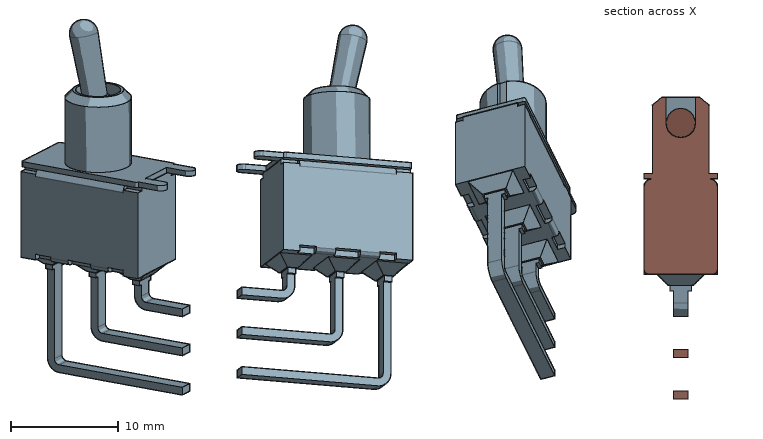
import cadquery as cq
import math


overall_height = 34.7

case_length = 12.7
case_width = 6.87
case_height = 8.9
strap_half_length = 4.75
top_edge_radius = 0.73
top_notch_height = 0.5
bottom_edge_radius = 0.45
bottom_notch_height = 0.55
bottom_notch_depth = 0.73
centre_notch_length = 2.43
outer_notch_length = 1.63

plate_inset = 0.07
plate_thickness = 0.52
plate_corner_radius = 0.2
lug_width = 1.3
lug_offset = 2.57
lug_tip_x = 8.95

bushing_diameter = 6.2
bushing_height = 7.1
bushing_chamfer = 0.73
keyway_width = 0.95
keyway_floor_radius = 2.35

terminal_pitch = 4.72
terminal_thickness = 0.75
terminal_width = 1.4
terminal_end_x = 9.55
terminal_bottoms = [-11.63, -7.78, -3.95]
bend_inner_radius = 0.52
collar_width = 2.05
collar_bottom = -1.55
seal_height = 1.05
seal_length = 3.12
seal_width = 4.45

ball_diameter = 4.2
pivot_depth = 2.4
lever_tilt = 11.6
tip_diameter = 2.7
root_diameter = 2.22

plate_top = case_height + plate_thickness
rim_z = plate_top + bushing_height
pivot_z = rim_z - pivot_depth
dome_centre_z = overall_height + min(terminal_bottoms) - tip_diameter / 2
lever_reach = (dome_centre_z - pivot_z) / math.cos(math.radians(lever_tilt))


def box_between(x_range, y_range, z_range):
    """Box spanning the given (low, high) pairs."""
    size = [high - low for low, high in (x_range, y_range, z_range)]
    corner = (x_range[0], y_range[0], z_range[0])
    return cq.Workplane("XY").box(*size, centered=False).translate(corner)


def edge_rounding(radius, z_edge, side):
    """Material outside a rounded long edge; side is +1 for the +Y edge and -1 for -Y."""
    edge_y = side * case_width / 2
    centre_y = edge_y - side * radius
    inward = -1 if z_edge > 0 else 1
    centre_z = z_edge + inward * radius
    arc_mid = (
        centre_y + side * radius * math.sqrt(0.5),
        centre_z - inward * radius * math.sqrt(0.5),
    )
    return (
        cq.Workplane("YZ", origin=(-strap_half_length, 0, 0))
        .moveTo(centre_y, z_edge)
        .threePointArc(arc_mid, (edge_y, centre_z))
        .lineTo(edge_y, z_edge)
        .close()
        .extrude(2 * strap_half_length)
    )


def make_case():
    half_length = case_length / 2
    half_width = case_width / 2
    case = box_between((-half_length, half_length), (-half_width, half_width), (0, case_height))
    top_notch_z = (case_height - top_notch_height, case_height)
    bottom_notch_z = (0, bottom_notch_height)
    top_notches_x = [(-half_length, -strap_half_length), (strap_half_length, half_length)]
    bottom_notches_x = [
        (-strap_half_length, outer_notch_length - strap_half_length),
        (-centre_notch_length / 2, centre_notch_length / 2),
        (strap_half_length - outer_notch_length, strap_half_length),
    ]
    for side in (-1, 1):
        case = case.cut(edge_rounding(top_edge_radius, case_height, side))
        case = case.cut(edge_rounding(bottom_edge_radius, 0, side))
        face_y = side * half_width
        top_y = sorted((face_y, face_y - side * top_edge_radius))
        bottom_y = sorted((face_y, face_y - side * bottom_notch_depth))
        for notch_x in top_notches_x:
            case = case.cut(box_between(notch_x, top_y, top_notch_z))
        for notch_x in bottom_notches_x:
            case = case.cut(box_between(notch_x, bottom_y, bottom_notch_z))
    return case


def make_plate():
    """Rectangular plate with two round-ended lugs reaching past its +X edge."""
    plate_length = case_length - 2 * plate_inset
    plate = (
        cq.Workplane("XY", origin=(0, 0, case_height))
        .rect(plate_length, case_width)
        .extrude(plate_thickness)
        .edges("|Z")
        .fillet(plate_corner_radius)
    )
    lug_centre_x = lug_tip_x / 2
    for lug_y in (-lug_offset, lug_offset):
        lug = (
            cq.Workplane("XY", origin=(lug_centre_x, lug_y, case_height))
            .slot2D(lug_tip_x, lug_width)
            .extrude(plate_thickness)
        )
        plate = plate.union(lug)
    return plate


def make_bushing():
    """Chamfered cylinder with a keyway down its -X side."""
    bushing = (
        cq.Workplane("XY", origin=(0, 0, plate_top))
        .circle(bushing_diameter / 2)
        .extrude(bushing_height)
        .faces(">Z")
        .chamfer(bushing_chamfer)
    )
    keyway = box_between(
        (-bushing_diameter, -keyway_floor_radius),
        (-keyway_width / 2, keyway_width / 2),
        (plate_top, rim_z),
    )
    return bushing.cut(keyway)


def make_ball():
    return cq.Workplane("XY", origin=(0, 0, pivot_z)).sphere(ball_diameter / 2)


def make_socket():
    """Round-bottomed bore that holds the ball of the lever."""
    bore = cq.Workplane("XY", origin=(0, 0, pivot_z)).circle(ball_diameter / 2).extrude(pivot_depth)
    return bore.union(make_ball())


def make_terminal(centre_x, foot_bottom):
    """Flat terminal bent toward +X, with a wider collar and a tapered seal under the case."""
    left = centre_x - terminal_thickness / 2
    right = centre_x + terminal_thickness / 2
    foot_top = foot_bottom + terminal_thickness
    bend_outer_radius = bend_inner_radius + terminal_thickness
    bend_x = right + bend_inner_radius
    bend_z = foot_top + bend_inner_radius
    outer_mid = (bend_x - bend_outer_radius * math.sqrt(0.5), bend_z - bend_outer_radius * math.sqrt(0.5))
    inner_mid = (bend_x - bend_inner_radius * math.sqrt(0.5), bend_z - bend_inner_radius * math.sqrt(0.5))
    strip = (
        cq.Workplane("XZ", origin=(0, terminal_width / 2, 0))
        .moveTo(left, 0)
        .lineTo(left, bend_z)
        .threePointArc(outer_mid, (bend_x, foot_bottom))
        .lineTo(terminal_end_x, foot_bottom)
        .lineTo(terminal_end_x, foot_top)
        .lineTo(bend_x, foot_top)
        .threePointArc(inner_mid, (right, bend_z))
        .lineTo(right, 0)
        .close()
        .extrude(terminal_width)
    )
    collar = box_between((left, right), (-collar_width / 2, collar_width / 2), (collar_bottom, 0))
    seal = (
        cq.Workplane("XY", origin=(centre_x, 0, 0))
        .rect(seal_length, seal_width)
        .workplane(offset=-seal_height)
        .rect(seal_length - 2 * seal_height, seal_width - 2 * seal_height)
        .loft()
    )
    return strip.union(collar).union(seal)


def make_housing():
    housing = make_case().union(make_plate()).union(make_bushing()).cut(make_socket())
    for index, foot_bottom in enumerate(terminal_bottoms):
        housing = housing.union(make_terminal((index - 1) * terminal_pitch, foot_bottom))
    return housing


def make_lever():
    """Ball pivot with a stem that widens toward a hemispherical tip."""
    tip_radius = tip_diameter / 2
    dome_mid = (tip_radius * math.sqrt(0.5), lever_reach + tip_radius * math.sqrt(0.5))
    stem = (
        cq.Workplane("XZ")
        .lineTo(root_diameter / 2, 0)
        .lineTo(tip_radius, lever_reach)
        .threePointArc(dome_mid, (0, lever_reach + tip_radius))
        .close()
        .revolve(360, (0, 0, 0), (0, 1, 0))
        .rotate((0, 0, 0), (0, 1, 0), -lever_tilt)
        .translate((0, 0, pivot_z))
    )
    return make_ball().union(stem)


housing = make_housing()
lever = make_lever()
result = cq.Compound.makeCompound([housing.solids().val(), lever.solids().val()])